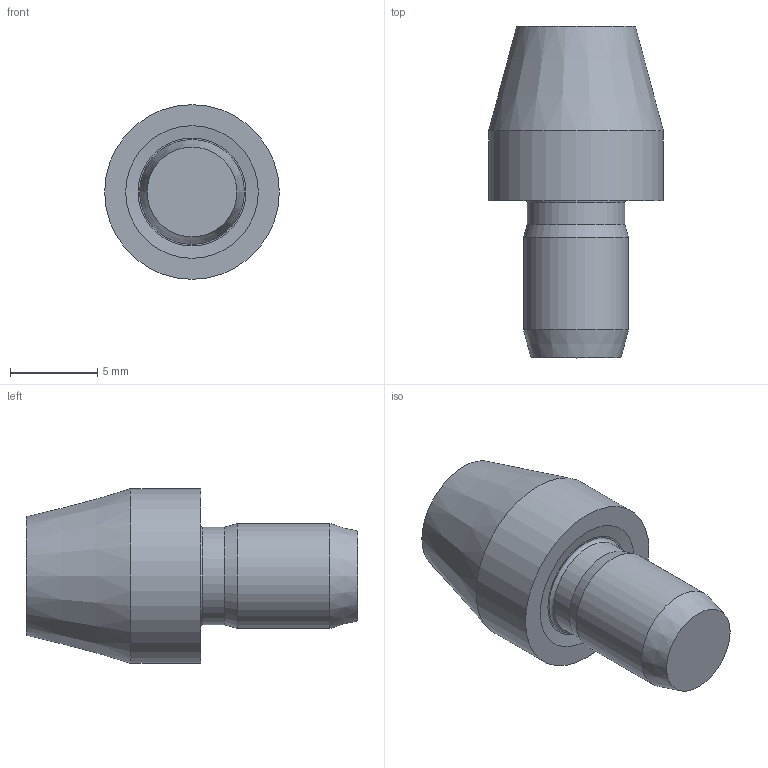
import cadquery as cq
import math

head_diameter = 10.0
collar_length = 4.0
nose_length = 6.0

shank_diameter = 6.0
shank_length = 9.0
lead_in_length = 1.6

taper_angle = 15.0

neck_diameter = 5.6
relief_length = 2.1
relief_depth = 0.1
relief_outer_diameter = 7.6
relief_face_angle = 8.0
root_fillet_radius = 0.2

taper_slope = math.tan(math.radians(taper_angle))
relief_face_slope = math.tan(math.radians(relief_face_angle))

head_radius = head_diameter / 2
nose_end_radius = head_radius - nose_length * taper_slope
shank_radius = shank_diameter / 2
shank_end_radius = shank_radius - lead_in_length * taper_slope
neck_radius = neck_diameter / 2
neck_taper_length = (shank_radius - neck_radius) / taper_slope
relief_outer_radius = relief_outer_diameter / 2
relief_floor_radius = relief_outer_radius - relief_depth / relief_face_slope


def half_profile():
    """Half section in the XY plane, x being the radius and y the position along the axis."""
    fillet_centre_x = neck_radius + root_fillet_radius
    fillet_centre_y = relief_depth - root_fillet_radius
    fillet_reach = root_fillet_radius * math.cos(math.radians(45))
    return (
        cq.Workplane("XY")
        .moveTo(0, -shank_length)
        .lineTo(shank_end_radius, -shank_length)
        .lineTo(shank_radius, -shank_length + lead_in_length)
        .lineTo(shank_radius, -relief_length)
        .lineTo(neck_radius, -relief_length + neck_taper_length)
        .lineTo(neck_radius, fillet_centre_y)
        .threePointArc(
            (fillet_centre_x - fillet_reach, fillet_centre_y + fillet_reach),
            (fillet_centre_x, relief_depth),
        )
        .lineTo(relief_floor_radius, relief_depth)
        .lineTo(relief_outer_radius, 0)
        .lineTo(head_radius, 0)
        .lineTo(head_radius, collar_length)
        .lineTo(nose_end_radius, collar_length + nose_length)
        .lineTo(0, collar_length + nose_length)
        .close()
    )


result = half_profile().revolve(360, (0, 0, 0), (0, 1, 0))